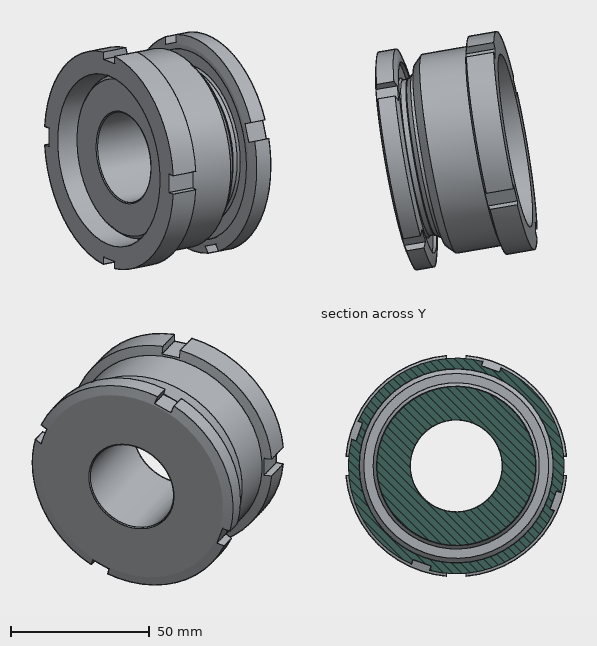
import cadquery as cq
flange_radius = 39.9
flange_chamfer_radial = 3.5
flange_chamfer_axial = 0.95
rim_radius = flange_radius - flange_chamfer_radial

notch_count = 4
notch_width = 6.9
notch_depth = 2.9
stud_notch_turn = 19.4

housing_flange_length = 10.9
barrel_radius = 36.4
barrel_chamfer = 3.1
housing_length = 30.95
recess_radius = 31.6
recess_depth = 12.8

shank_radius = 29.9
shank_chamfer = 1.2
shank_chamfer_axial = 1.7
shank_front = 6.5
shank_back = 34.15
shank_end_radius = shank_radius - shank_chamfer
neck_start = 34.5
neck_radius = 28.5
stud_flange_front = 35.9
overall_length = 44.1
face_recess_radius = 34.9
face_recess_depth = 1.3
neck_foot_chamfer = 0.8
bore_radius = 16.5
bore_chamfer = 0.4


def revolve_about_y(points):
    """Turn a closed (radius, Y) outline around the Y axis."""
    return cq.Workplane("XY").polyline(points).close().revolve(360, (0, 0, 0), (0, 1, 0))


def cut_notches(body, y_start, y_end, turn):
    """Cut evenly spaced rectangular notches into a flange's outer edge."""
    length = y_end - y_start
    notch_floor = flange_radius - notch_depth
    cutter_height = 2 * notch_depth
    cutter = cq.Workplane("XY").box(notch_width, length, cutter_height).translate(
        (0, y_start + length / 2, notch_floor + cutter_height / 2)
    )
    for index in range(notch_count):
        angle = turn + index * 360 / notch_count
        body = body.cut(cutter.rotate((0, 0, 0), (0, 1, 0), angle))
    return body


def make_housing():
    """Flanged barrel with a front recess and a bore that fits the shank."""
    body = revolve_about_y([
        (recess_radius, 0),
        (flange_radius, 0),
        (flange_radius, housing_flange_length - flange_chamfer_axial),
        (barrel_radius, housing_flange_length),
        (barrel_radius, housing_length - barrel_chamfer),
        (barrel_radius - barrel_chamfer, housing_length),
        (shank_radius, housing_length),
        (shank_radius, recess_depth),
        (recess_radius, recess_depth),
    ])
    return cut_notches(body, 0, housing_flange_length, 0)


def make_stud():
    """Hollow shank with a neck and a flange chamfered on both sides."""
    body = revolve_about_y([
        (bore_radius + bore_chamfer, shank_front),
        (shank_end_radius, shank_front),
        (shank_radius, shank_front + shank_chamfer_axial),
        (shank_radius, shank_back - shank_chamfer_axial),
        (shank_end_radius, shank_back),
        (shank_end_radius, neck_start),
        (neck_radius, neck_start),
        (neck_radius, stud_flange_front + face_recess_depth - neck_foot_chamfer),
        (neck_radius + neck_foot_chamfer, stud_flange_front + face_recess_depth),
        (face_recess_radius, stud_flange_front + face_recess_depth),
        (face_recess_radius, stud_flange_front),
        (rim_radius, stud_flange_front),
        (flange_radius, stud_flange_front + flange_chamfer_axial),
        (flange_radius, overall_length - flange_chamfer_axial),
        (rim_radius, overall_length),
        (bore_radius + bore_chamfer, overall_length),
        (bore_radius, overall_length - bore_chamfer),
        (bore_radius, shank_front + bore_chamfer),
    ])
    return cut_notches(body, stud_flange_front, overall_length, -stud_notch_turn)


housing = make_housing()
stud = make_stud()
result = cq.Compound.makeCompound([housing.val(), stud.val()])